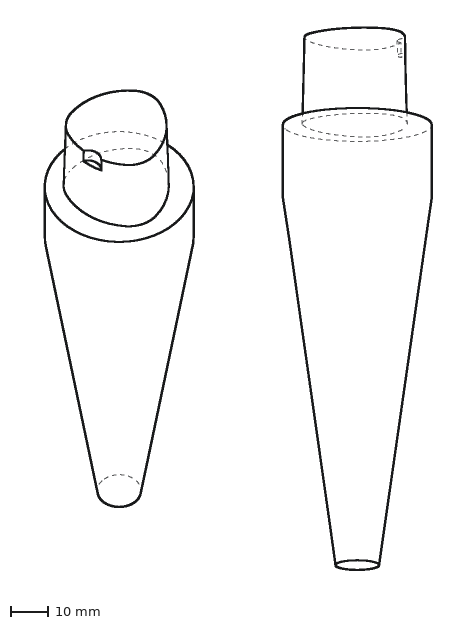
import cadquery as cq
import math

total_length = 145.0
shank_length = 23.8
collar_length = 20.0
cone_length = total_length - collar_length - shank_length

collar_diameter = 40.0
tip_diameter = 11.7

first_lobe_angle = 90
lobe_spacing = 120
lobe_half_angle = 30
lobe_offset = 6.1
lobe_radius_base = 8.8
lobe_radius_top = 8.3

key_radius = 3.5
key_floor = 11.0
key_length = 4.0


def polar(radius, angle):
    return (radius * math.cos(math.radians(angle)), radius * math.sin(math.radians(angle)))


def make_body():
    """Cone and cylindrical collar, revolved about Z."""
    profile = (
        cq.Workplane("XZ")
        .polyline([
            (0, 0),
            (tip_diameter / 2, 0),
            (collar_diameter / 2, cone_length),
            (collar_diameter / 2, cone_length + collar_length),
            (0, cone_length + collar_length),
        ])
        .close()
    )
    return profile.revolve(360, (0, 0, 0), (0, 1, 0))


def lobed_wire(workplane, lobe_radius):
    """Rounded triangle: each flank arc is centred on the opposite lobe centre."""
    flank_radius = lobe_radius + lobe_offset * math.sqrt(3)
    flank_distance = flank_radius - lobe_offset

    def on_lobe(lobe_angle, turn):
        x, y = polar(lobe_offset, lobe_angle)
        dx, dy = polar(lobe_radius, lobe_angle + turn)
        return (x + dx, y + dy)

    wire = workplane.moveTo(*on_lobe(first_lobe_angle, -lobe_half_angle))
    for lobe in range(3):
        lobe_angle = first_lobe_angle + lobe * lobe_spacing
        wire = wire.threePointArc(on_lobe(lobe_angle, 0), on_lobe(lobe_angle, lobe_half_angle))
        wire = wire.threePointArc(
            polar(flank_distance, lobe_angle + lobe_spacing / 2),
            on_lobe(lobe_angle + lobe_spacing, -lobe_half_angle),
        )
    return wire.close()


def make_shank():
    base = lobed_wire(cq.Workplane("XY", origin=(0, 0, cone_length + collar_length)), lobe_radius_base)
    return lobed_wire(base.workplane(offset=shank_length), lobe_radius_top).loft(ruled=True)


def make_keyway():
    """Vertical cylindrical cutter reaching down from the top face."""
    return (
        cq.Workplane("XY", origin=(0, -(key_floor + key_radius), total_length - key_length))
        .circle(key_radius)
        .extrude(key_length)
    )


result = make_body().union(make_shank()).cut(make_keyway())